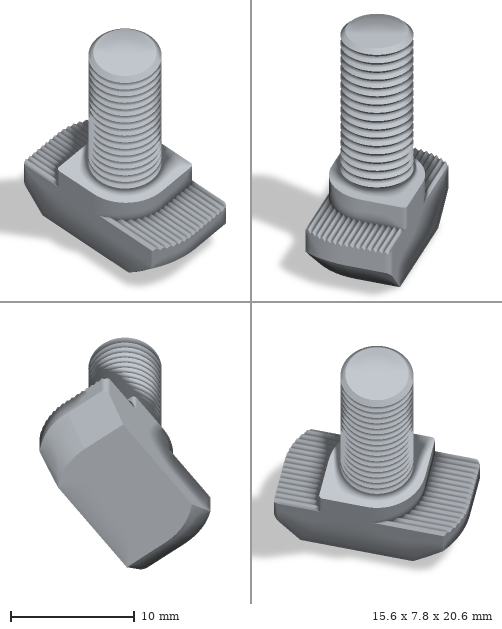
import cadquery as cq

length = 15.6
width = 7.8
height = 20.6

shoulder_height = 4.72
taper_height = 2.68
bottom_half_length = 5.5
head_corner_radius = 0.5
swing_wall_start = 0.37
swing_wall_run = 1.4

whole_teeth = 15
part_tooth_width = 0.3
tooth_pitch = (width - part_tooth_width) / whole_teeth
tooth_depth = tooth_pitch / 2

neck_top = 6.72
neck_length = 8.0
neck_round_radius = neck_length / 2
neck_corner_radius = 0.3

stud_bottom = 7.0
thread_radius = 2.99
root_radius = 2.58
ridge_count = 17
ridge_pitch = (height - stud_bottom) / ridge_count

half_length = length / 2
half_width = width / 2


def half_turn(shape):
    """Return the shape turned half a turn about the Z axis."""
    return shape.rotate((0, 0, 0), (0, 0, 1), 180)


def head_blank():
    """Plate with two curved swing walls and two small rounded corners, on opposite diagonals."""
    curve_end_x = half_length - swing_wall_run
    return (
        cq.Workplane("XY")
        .moveTo(half_length, half_width)
        .lineTo(half_length, -swing_wall_start)
        .tangentArcPoint((curve_end_x, -half_width), relative=False)
        .lineTo(-half_length, -half_width)
        .lineTo(-half_length, swing_wall_start)
        .tangentArcPoint((-curve_end_x, half_width), relative=False)
        .close()
        .extrude(shoulder_height)
        .edges("|Z")
        .edges(">(1, 1, 0) or <(1, 1, 0)")
        .fillet(head_corner_radius)
    )


def flank_profile():
    """Half section of the head in the XZ plane, sloping outward from the flat bottom."""
    slope = (half_length - bottom_half_length) / taper_height
    return cq.Workplane("XZ").polyline([
        (0, 0),
        (bottom_half_length, 0),
        (bottom_half_length + slope * shoulder_height, shoulder_height),
        (0, shoulder_height),
    ]).close()


def taper_envelope():
    """Flanks of the head: each end is a flat slope on one side and a cone on the other."""
    flat_part = flank_profile().extrude(-half_width)
    cone_part = flank_profile().revolve(90, (0, 0), (0, 1)).rotate((0, 0, 0), (0, 0, 1), -90)
    one_end = flat_part.union(cone_part)
    return one_end.union(half_turn(one_end))


def serration_cutter():
    """V grooves of the -X shoulder, counted from a crest on the -Y side."""
    cutter = cq.Workplane("YZ").workplane(offset=-half_length)
    for groove in range(whole_teeth + 1):
        crest_y = groove * tooth_pitch - half_width
        cutter = cutter.polyline([
            (crest_y, shoulder_height),
            (crest_y + tooth_pitch / 2, shoulder_height - tooth_depth),
            (crest_y + tooth_pitch, shoulder_height),
        ]).close()
    return cutter.extrude(half_length)


def neck():
    """Neck block with two opposite corners fully rounded and the other two slightly rounded."""
    return (
        cq.Workplane("XY")
        .workplane(offset=taper_height)
        .rect(neck_length, width)
        .extrude(neck_top - taper_height)
        .edges("|Z")
        .edges(">(-1, 1, 0) or <(-1, 1, 0)")
        .fillet(neck_round_radius)
        .edges("|Z")
        .edges(">(1, 1, 0) or <(1, 1, 0)")
        .fillet(neck_corner_radius)
    )


def make_head():
    """Serrated hammer head with its neck."""
    grooves = serration_cutter()
    serrated = head_blank().intersect(taper_envelope()).cut(grooves).cut(half_turn(grooves))
    return serrated.union(neck())


def make_stud():
    """Stud revolved from a zigzag of thread roots and crests."""
    zigzag = [(root_radius, stud_bottom)]
    for ridge in range(ridge_count):
        ridge_bottom = stud_bottom + ridge * ridge_pitch
        zigzag.append((thread_radius, ridge_bottom + ridge_pitch / 2))
        zigzag.append((root_radius, ridge_bottom + ridge_pitch))
    return (
        cq.Workplane("XZ")
        .polyline([(0, stud_bottom), *zigzag, (0, height)])
        .close()
        .revolve(360, (0, 0), (0, 1))
    )


head = make_head()
stud = make_stud()

result = cq.Compound.makeCompound([head.val(), stud.val()])